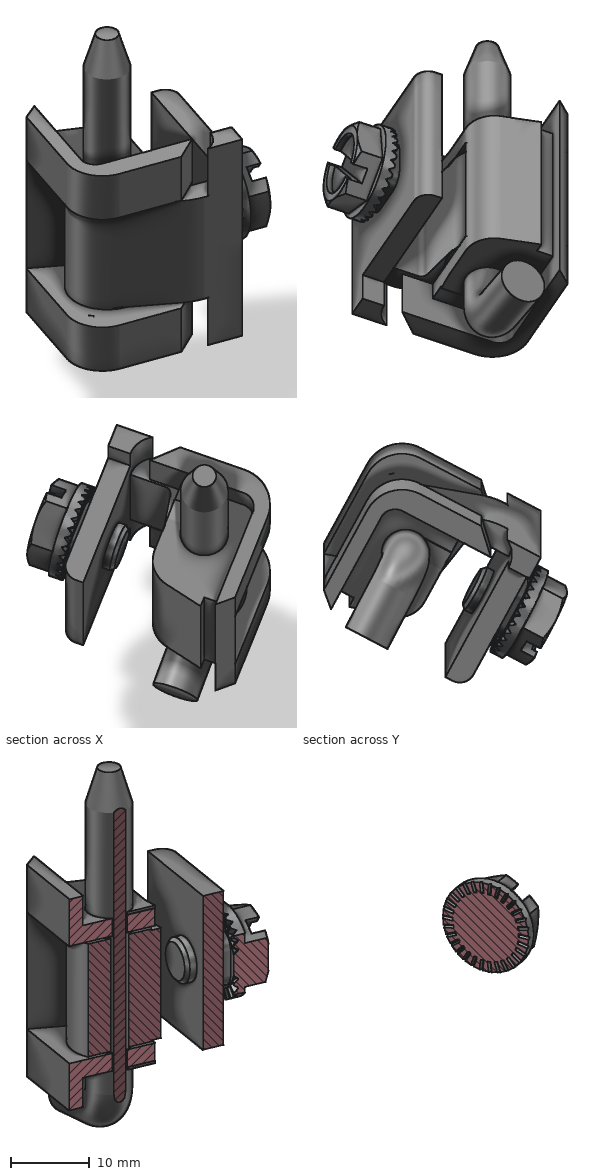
import cadquery as cq
import math


outer_x = 20.1
housing_height = 29.9
mid_z = housing_height / 2
pin_x = 11.75
pin_y = 7.3
pin_diameter = 6.0
stop_lean = 18.0

front_thickness = 2.0
wall_thickness = 3.0
wall_inner_x = outer_x - wall_thickness
wall_tip_y = 16.7
front_tip_x = 1.6
front_bevel_x = 1.8
outer_corner_radius = 5.0
inner_corner_radius = 2.0
window_height = 16.5
housing_bore = 6.1

block_height = 21.6
block_back_y = 12.4
block_foot_x = 3.55
block_step_x = 2.25
block_step_y = 4.25
block_side_lean = 14.0
block_corner_radius = 4.0

ramp_start_x = 12.0
ramp_end_x = 14.6
ramp_rise = 0.35

leaf_wall_height = 30.1
leaf_plate_height = 21.8
leaf_web_height = 15.6
leaf_front_y = 19.3
leaf_back_y = 22.3
leaf_wall_inner_x = 17.0
leaf_edge_radius = 2.0
ear_radius = 3.5
knuckle_diameter = 10.8
knuckle_height = 16.0
knuckle_bore = 6.3
web_slope = 10.0
web_inner_radius = 1.0
web_outer_radius = 9.0

pin_top_z = 45.6
pin_taper_length = 5.0
pin_tip_diameter = 3.0
bend_radius = 4.0
bend_start_z = 0.75
bend_angle = 80.0
handle_length = 7.3

screw_x = 10.0
screw_end_y = 17.8
flange_front_y = 23.75
flange_back_y = 25.4
head_back_y = 28.8
stub_diameter = 6.1
stub_chamfer = 0.5
neck_side = 7.6
neck_corner_radius = 2.05
flange_diameter = 12.5
head_across_flats = 10.0
hexagon_sides = 6
hexagon_half_angle = 180 / hexagon_sides
head_turn = 23.7
head_cone_angle = 30.0
slot_width = 2.0
slot_depth = 2.0
dish_diameter = 8.0
dish_depth = 0.75
tooth_count = 30
tooth_depth = 0.65
tooth_width = 0.9
tooth_inner_radius = 4.8


def polar(radius, angle):
    """Offset of a point at the given radius and angle in degrees."""
    return radius * math.cos(math.radians(angle)), radius * math.sin(math.radians(angle))


def tan_deg(angle):
    return math.tan(math.radians(angle))


def centered_prism(profile, height, center_z):
    """Extrude a closed XY profile to a height centred on center_z."""
    return profile.extrude(height).translate((0, 0, center_z - height / 2))


def pin_cylinder(diameter, height, center_z):
    """Cylinder on the pin axis."""
    return centered_prism(cq.Workplane("XY").center(pin_x, pin_y).circle(diameter / 2), height, center_z)


def housing_angle():
    """L section with a rounded corner, a bevelled front tip and a bevelled wall tip."""
    profile = (
        cq.Workplane("XY")
        .moveTo(front_tip_x + front_bevel_x, 0)
        .lineTo(outer_x - outer_corner_radius, 0)
        .radiusArc((outer_x, outer_corner_radius), -outer_corner_radius)
        .lineTo(outer_x, wall_tip_y - wall_thickness)
        .lineTo(wall_inner_x, wall_tip_y)
        .lineTo(wall_inner_x, front_thickness + inner_corner_radius)
        .radiusArc((wall_inner_x - inner_corner_radius, front_thickness), inner_corner_radius)
        .lineTo(front_tip_x, front_thickness)
        .close()
    )
    return centered_prism(profile, housing_height, mid_z)


def pin_block():
    """Block behind the front plate that carries the pin, with a leaning, rounded free side."""
    arc_center_y = block_back_y - block_corner_radius
    arc_dx, arc_dy = polar(block_corner_radius, 180 - block_side_lean)
    tangent_y = arc_center_y + arc_dy
    tangent_x = block_step_x + (tangent_y - block_step_y) * tan_deg(block_side_lean)
    profile = (
        cq.Workplane("XY")
        .moveTo(block_foot_x, front_thickness / 2)
        .lineTo(block_foot_x, block_step_y)
        .lineTo(block_step_x, block_step_y)
        .lineTo(tangent_x, tangent_y)
        .radiusArc((tangent_x - arc_dx, block_back_y), block_corner_radius)
        .lineTo(outer_x - wall_thickness / 2, block_back_y)
        .lineTo(outer_x - wall_thickness / 2, outer_corner_radius)
        .lineTo(outer_x - outer_corner_radius, front_thickness / 2)
        .close()
    )
    return centered_prism(profile, block_height, mid_z)


def housing_window():
    """Opening for the knuckle, bounded on its free side by the leaning stop face."""
    edge_x = front_tip_x + front_bevel_x
    profile = (
        cq.Workplane("XY")
        .moveTo(edge_x, 0)
        .lineTo(edge_x + wall_tip_y * tan_deg(stop_lean), wall_tip_y)
        .lineTo(outer_x, wall_tip_y)
        .lineTo(outer_x, 0)
        .close()
    )
    return centered_prism(profile, window_height, mid_z)


def detent_ramp():
    """Wedge on top of the block, rising along X, between the pin axis and the block's back."""
    block_top_z = mid_z + block_height / 2
    return (
        cq.Workplane("XZ", origin=(0, block_back_y, 0))
        .moveTo(ramp_start_x, block_top_z)
        .lineTo(ramp_end_x, block_top_z + ramp_rise)
        .lineTo(ramp_end_x, block_top_z)
        .close()
        .extrude(block_back_y - pin_y)
    )


def make_housing():
    top_ramp = detent_ramp()
    bottom_ramp = top_ramp.mirror("XY", (0, 0, mid_z))
    return (
        housing_angle()
        .union(pin_block())
        .union(top_ramp)
        .union(bottom_ramp)
        .cut(housing_window())
        .cut(pin_cylinder(housing_bore, housing_height, mid_z))
    )


def leaf_plate():
    thickness = leaf_back_y - leaf_front_y
    return (
        cq.Workplane("XY")
        .box(outer_x, thickness, leaf_plate_height, centered=(False, False, True))
        .translate((0, leaf_front_y, mid_z))
        .edges("<X and >Y")
        .fillet(leaf_edge_radius)
    )


def leaf_wall():
    """Wall along the back corner, ending in an arc that becomes the ears above and below the web."""
    wall_width = outer_x - leaf_wall_inner_x
    ear_drop = ear_radius - math.sqrt(ear_radius**2 - wall_width**2)
    profile = (
        cq.Workplane("XY")
        .moveTo(leaf_wall_inner_x, leaf_back_y)
        .lineTo(leaf_wall_inner_x, leaf_front_y)
        .radiusArc((outer_x, leaf_front_y - ear_drop), ear_radius)
        .lineTo(outer_x, leaf_back_y)
        .close()
    )
    return centered_prism(profile, leaf_wall_height, mid_z)


def leaf_web():
    """Web from the wall to the knuckle; both of its faces run tangent to the knuckle."""
    knuckle_radius = knuckle_diameter / 2

    def knuckle_point(angle):
        dx, dy = polar(knuckle_radius, angle)
        return pin_x + dx, pin_y + dy

    inner_tangent = knuckle_point(90 + web_slope)
    inner_corner_y = inner_tangent[1] + (leaf_wall_inner_x - inner_tangent[0]) * tan_deg(web_slope)
    inner_setback = web_inner_radius * tan_deg((90 - web_slope) / 2)
    inner_dx, inner_dy = polar(inner_setback, web_slope)

    outer_tangent = knuckle_point(-stop_lean)
    outer_corner_y = outer_tangent[1] + (outer_x - outer_tangent[0]) / tan_deg(stop_lean)
    outer_setback = web_outer_radius * tan_deg(stop_lean / 2)
    outer_dx, outer_dy = polar(outer_setback, 90 - stop_lean)

    far_point = knuckle_point((90 + web_slope + 360 - stop_lean) / 2)
    profile = (
        cq.Workplane("XY")
        .moveTo(leaf_wall_inner_x, leaf_front_y)
        .lineTo(leaf_wall_inner_x, inner_corner_y + inner_setback)
        .radiusArc((leaf_wall_inner_x - inner_dx, inner_corner_y - inner_dy), web_inner_radius)
        .lineTo(*inner_tangent)
        .threePointArc(far_point, outer_tangent)
        .lineTo(outer_x - outer_dx, outer_corner_y - outer_dy)
        .radiusArc((outer_x, outer_corner_y + outer_setback), -web_outer_radius)
        .lineTo(outer_x, leaf_front_y)
        .close()
    )
    return centered_prism(profile, leaf_web_height, mid_z)


def make_leaf():
    screw_hole = screw_disc(stub_diameter, leaf_front_y, leaf_back_y)
    return (
        leaf_plate()
        .union(leaf_wall())
        .union(leaf_web())
        .union(pin_cylinder(knuckle_diameter, knuckle_height, mid_z))
        .cut(pin_cylinder(knuckle_bore, knuckle_height, mid_z))
        .cut(screw_hole)
    )


def make_pin():
    straight = (
        cq.Workplane("XY", origin=(pin_x, pin_y, bend_start_z))
        .circle(pin_diameter / 2)
        .extrude(pin_top_z - bend_start_z)
    )
    taper_inset = (pin_diameter - pin_tip_diameter) / 2
    straight = straight.faces(">Z").chamfer(pin_taper_length, taper_inset)

    bend = (
        cq.Workplane("XY", origin=(pin_x, pin_y, bend_start_z))
        .circle(pin_diameter / 2)
        .revolve(bend_angle, (-bend_radius, 0, 0), (-bend_radius, 1, 0))
    )
    bend_dx, bend_dz = polar(bend_radius, -bend_angle)
    bend_end = (pin_x - bend_radius + bend_dx, pin_y, bend_start_z + bend_dz)
    handle_direction = (
        -math.sin(math.radians(bend_angle)),
        0,
        -math.cos(math.radians(bend_angle)),
    )
    handle_plane = cq.Plane(origin=bend_end, xDir=(0, 1, 0), normal=handle_direction)
    handle = cq.Workplane(handle_plane).circle(pin_diameter / 2).extrude(handle_length)
    return straight.union(bend).union(handle)


def screw_plane(y):
    """Workplane across the screw axis that extrudes toward +Y; its local x and y are X and -Z."""
    return cq.Workplane(cq.Plane(origin=(screw_x, y, mid_z), xDir=(1, 0, 0), normal=(0, 1, 0)))


def screw_disc(diameter, start_y, end_y):
    return screw_plane(start_y).circle(diameter / 2).extrude(end_y - start_y)


def turn_about_screw(body, angle):
    """Turn a body about the screw axis."""
    return body.rotate((screw_x, 0, mid_z), (screw_x, 1, mid_z), angle)


def screw_head():
    """Hexagon with a coned back, a shallow round dish and a slot between two opposite flats."""
    height = head_back_y - flange_back_y
    corner_diameter = head_across_flats / math.cos(math.radians(hexagon_half_angle))
    hexagon = screw_plane(flange_back_y).polygon(hexagon_sides, corner_diameter).extrude(height)
    cone_inset = (corner_diameter - head_across_flats) / 2
    cone_drop = cone_inset * tan_deg(head_cone_angle)
    envelope = screw_disc(corner_diameter, flange_back_y, head_back_y)
    envelope = envelope.faces(">Y").chamfer(cone_drop, cone_inset)
    slot = (
        screw_plane(head_back_y - slot_depth)
        .transformed(rotate=(0, 0, -hexagon_half_angle))
        .rect(corner_diameter, slot_width)
        .extrude(slot_depth)
    )
    dish = screw_disc(dish_diameter, head_back_y - dish_depth, head_back_y)
    head = hexagon.intersect(envelope).cut(slot).cut(dish)
    return turn_about_screw(head, -head_turn)


def serrated_flange():
    """Flange with radial V grooves around the face toward the leaf."""
    flange = screw_disc(flange_diameter, flange_front_y, flange_back_y)
    groove = (
        cq.Workplane("XY", origin=(screw_x, flange_front_y, mid_z + tooth_inner_radius))
        .moveTo(-tooth_width / 2, 0)
        .lineTo(0, tooth_depth)
        .lineTo(tooth_width / 2, 0)
        .close()
        .extrude(flange_diameter / 2)
    )
    pitch = 360 / tooth_count
    for index in range(tooth_count):
        flange = flange.cut(turn_about_screw(groove, (index + 0.5) * pitch))
    return flange


def make_screw():
    stub = screw_disc(stub_diameter, screw_end_y, leaf_back_y).faces("<Y").chamfer(stub_chamfer)
    neck = (
        screw_plane(leaf_back_y)
        .rect(neck_side, neck_side)
        .extrude(flange_front_y - leaf_back_y)
        .edges("|Y")
        .fillet(neck_corner_radius)
    )
    return stub.union(neck).union(serrated_flange()).union(screw_head())


housing = make_housing()
leaf = make_leaf()
pin = make_pin()
screw = make_screw()

bodies = [housing, leaf, pin, screw]
result = cq.Compound.makeCompound([body.solids().val() for body in bodies])